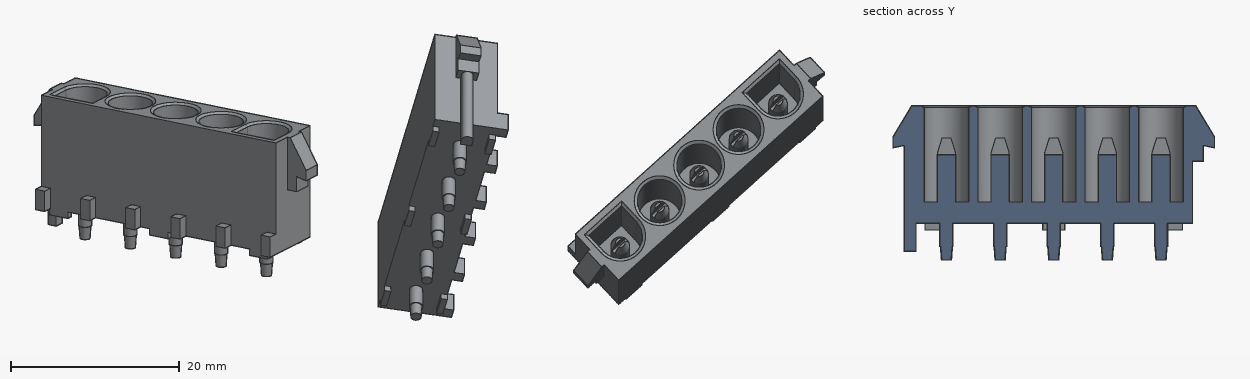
import cadquery as cq
import math

body_length = 32.88
body_depth = 7.6
body_bottom = 4.35
body_top = 18.3

position_count = 5
row_span = 25.4
pitch = row_span / (position_count - 1)
positions = [i * pitch - row_span / 2 for i in range(position_count)]

cavity_radius = 2.63
mouth_radius = 3.0
mouth_depth = 0.23
cavity_floor = 6.9

contact_radius = 1.1
contact_nose_radius = 0.57
contact_top = 14.48
contact_nose_height = 1.75
contact_slot_width = 0.5
contact_slot_depth = 2.0
tail_radius = 0.8
tail_shoulder = 1.6
tip_root_radius = 0.72
tip_end_radius = 0.6

rib_count = 6
rib_width = 1.3
rib_projection = 1.3
rib_top = 6.9
rib_pitch = (body_length - rib_width) / (rib_count - 1)

foot_bottom = 3.55
foot_depth = 0.75
foot_length = 2.55
middle_foot_length = 2.63

overall_length = 38.1
latch_width = 2.5
latch_top_length = 0.4
latch_stem_length = 1.3
latch_stem_bottom = 11.7
hook_tip_bottom = 13.3
hook_root_bottom = 13.55
hook_slope_bottom = 14.6

peg_width = 1.37
peg_outer_x = -17.75
peg_round_x = -17.2
peg_inner_x = -16.3
peg_bottom = 1.03


def box(x_min, x_max, y_min, y_max, z_min, z_max):
    """Box given by its limits along each axis."""
    return cq.Workplane("XY").box(
        x_max - x_min, y_max - y_min, z_max - z_min, centered=False
    ).translate((x_min, y_min, z_min))


def cavity_outline(x, z, radius, keyed):
    """Round outline, or one with a square front half when keyed."""
    plane = cq.Workplane("XY", origin=(x, 0, z))
    if not keyed:
        return plane.circle(radius)
    return (
        plane.moveTo(radius, 0)
        .threePointArc((0, radius), (-radius, 0))
        .lineTo(-radius, -radius)
        .lineTo(radius, -radius)
        .close()
    )


def cavity(x, keyed):
    """Straight cavity with a tapered mouth."""
    straight = cavity_outline(x, cavity_floor, cavity_radius, keyed).extrude(body_top - cavity_floor)
    taper = math.degrees(math.atan2(mouth_radius - cavity_radius, mouth_depth))
    mouth = cavity_outline(x, body_top, mouth_radius, keyed).extrude(-mouth_depth, taper=taper)
    return straight.union(mouth)


def contact(x):
    """Turned contact with a slot across its nose."""
    nose_start = contact_top - contact_nose_height
    turned = (
        cq.Workplane("XZ", origin=(x, 0, 0))
        .polyline([
            (0, 0),
            (tip_end_radius, 0),
            (tip_root_radius, tail_shoulder),
            (tail_radius, tail_shoulder),
            (tail_radius, body_bottom),
            (contact_radius, body_bottom),
            (contact_radius, nose_start),
            (contact_nose_radius, contact_top),
            (0, contact_top),
        ])
        .close()
        .revolve(360, (0, 0), (0, 1))
    )
    slot = box(
        x - contact_radius, x + contact_radius,
        -contact_slot_width / 2, contact_slot_width / 2,
        contact_top - contact_slot_depth, contact_top,
    )
    return turned.cut(slot)


def left_latch():
    """Hooked latch on the left end of the housing."""
    body_end = -body_length / 2
    hook_tip = -overall_length / 2
    stem_face = body_end - latch_stem_length
    return (
        cq.Workplane("XZ")
        .polyline([
            (body_end, body_top),
            (body_end - latch_top_length, body_top),
            (hook_tip, hook_slope_bottom),
            (hook_tip, hook_tip_bottom),
            (stem_face, hook_root_bottom),
            (stem_face, latch_stem_bottom),
            (body_end, latch_stem_bottom),
        ])
        .close()
        .extrude(latch_width / 2, both=True)
    )


def locating_peg():
    """Upright peg from the left latch stem down past the housing."""
    peg_side = peg_width / 2
    return (
        cq.Workplane("XY", origin=(0, 0, peg_bottom))
        .moveTo(peg_inner_x, peg_side)
        .lineTo(peg_round_x, peg_side)
        .threePointArc((peg_outer_x, 0), (peg_round_x, -peg_side))
        .lineTo(peg_inner_x, -peg_side)
        .close()
        .extrude(latch_stem_bottom - peg_bottom)
    )


body_right = body_length / 2
body_back = body_depth / 2
body_front = -body_back
result = box(-body_right, body_right, body_front, body_back, body_bottom, body_top)

for index in range(rib_count):
    rib_left = index * rib_pitch - body_right
    result = result.union(box(
        rib_left, rib_left + rib_width,
        body_front - rib_projection, body_front,
        body_bottom, rib_top,
    ))

foot_limits = [
    (positions[0] - foot_length, positions[0]),
    (-middle_foot_length / 2, middle_foot_length / 2),
    (positions[-1], positions[-1] + foot_length),
]
for foot_left, foot_right in foot_limits:
    for foot_front in (body_front, body_back - foot_depth):
        result = result.union(box(
            foot_left, foot_right, foot_front, foot_front + foot_depth, foot_bottom, body_bottom,
        ))

latch = left_latch()
result = result.union(latch).union(latch.mirror("YZ"))
result = result.union(locating_peg())

for index, position in enumerate(positions):
    at_row_end = index in (0, position_count - 1)
    result = result.cut(cavity(position, at_row_end))
    result = result.union(contact(position))